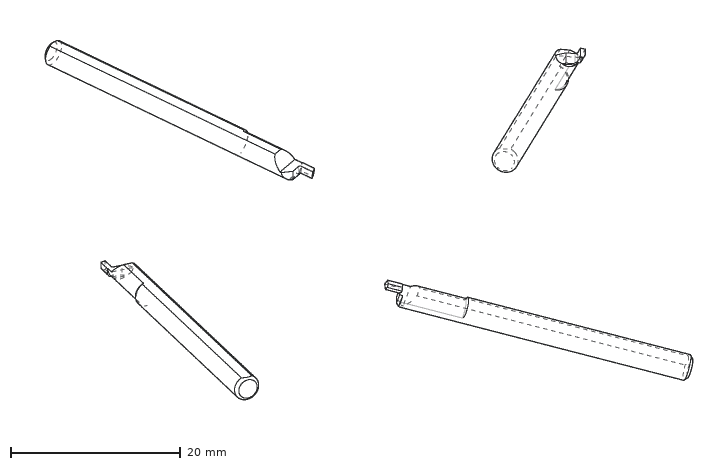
import cadquery as cq

length = 38.1
diameter = 3.15
radius = diameter / 2
height = 3.0
flat_z = height - radius
end_chamfer = 0.4

neck_start = 27.93
neck_offset = 0.23
neck_fillet = neck_offset

rake_z = 0.0
rake_start = 35.05
slope_run = flat_z - rake_z
head_end = 36.2
corner_start = 35.25
corner_end_y = -0.57
heel_start = 35.8
heel_z = -1.3

blade_root = 36.05
blade_inner_y = 0.75
blade_outer_y = 1.4
blade_bottom_z = -1.1
blade_corner_fillet = 0.23
tip_setback = 0.2
tip_relief = 0.1


def make_shank():
    bar = cq.Workplane("YZ").circle(radius).extrude(head_end)
    return bar.faces("<X").chamfer(end_chamfer)


def make_neck_envelope():
    """Limit of the set-back bar: full width at first, then a fillet to the offset neck."""
    wide = radius + 2 * neck_offset
    step = radius + neck_fillet
    fillet_mid = neck_fillet * (1 - 0.5 ** 0.5)
    profile = (
        cq.Workplane("XY")
        .lineTo(0, wide)
        .lineTo(neck_start, wide)
        .lineTo(neck_start, step)
        .threePointArc((neck_start + fillet_mid, radius + fillet_mid), (neck_start + neck_fillet, radius))
        .lineTo(length, radius)
        .lineTo(length, 0)
        .close()
    )
    return profile.revolve(360, (0, 0, 0), (1, 0, 0)).translate((0, -neck_offset, 0))


def make_side_envelope():
    """Area below the flat, the slope and the rake face, with the heel stepped up."""
    return (
        cq.Workplane("XZ")
        .moveTo(0, -radius)
        .lineTo(0, flat_z)
        .lineTo(rake_start - slope_run, flat_z)
        .lineTo(rake_start, rake_z)
        .lineTo(head_end, rake_z)
        .lineTo(head_end, heel_z)
        .lineTo(heel_start, heel_z)
        .lineTo(heel_start, -radius)
        .close()
        .extrude(radius, both=True)
    )


def make_corner_cut():
    """Wedge that bevels the -Y corner of the head."""
    return (
        cq.Workplane("XY")
        .workplane(offset=-radius)
        .moveTo(corner_start, -radius)
        .lineTo(head_end, corner_end_y)
        .lineTo(head_end, -radius)
        .close()
        .extrude(height)
    )


def make_blade():
    """Blade below the rake face with a root fillet and a relieved tip, kept within the bar's round."""
    fillet_mid = blade_corner_fillet * (1 - 0.5 ** 0.5)
    blade = (
        cq.Workplane("XY")
        .workplane(offset=blade_bottom_z)
        .moveTo(blade_root, blade_outer_y)
        .lineTo(length, blade_outer_y)
        .lineTo(length, blade_inner_y)
        .lineTo(head_end + blade_corner_fillet, blade_inner_y)
        .threePointArc(
            (head_end + fillet_mid, blade_inner_y - fillet_mid),
            (head_end, blade_inner_y - blade_corner_fillet),
        )
        .lineTo(blade_root, blade_inner_y - blade_corner_fillet)
        .close()
        .extrude(rake_z - blade_bottom_z)
    )

    def tip_outline(z, setback):
        points = [
            (blade_root, -radius),
            (length - setback, -radius),
            (length - setback, blade_inner_y),
            (length - setback - tip_setback, blade_outer_y),
            (blade_root, blade_outer_y),
        ]
        return cq.Wire.makePolygon([cq.Vector(x, y, z) for x, y in points], close=True)

    tip_envelope = cq.Solid.makeLoft(
        [tip_outline(blade_bottom_z, tip_relief), tip_outline(rake_z, 0)], True
    )
    bar_envelope = cq.Workplane("YZ").circle(radius).extrude(length)
    return blade.intersect(cq.Workplane(tip_envelope)).intersect(bar_envelope)


bar = make_shank().intersect(make_neck_envelope()).intersect(make_side_envelope())
result = bar.cut(make_corner_cut()).union(make_blade())